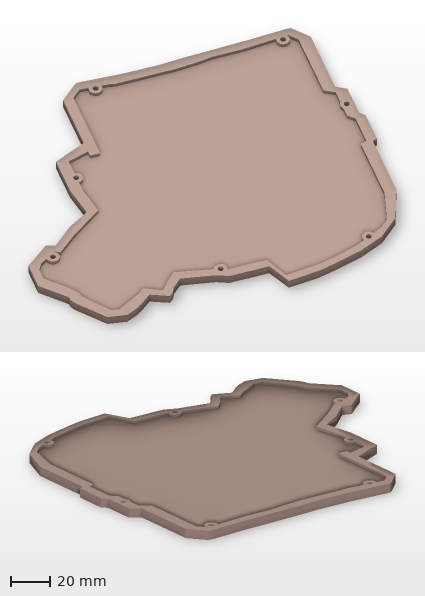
import cadquery as cq

WIDTH = 170.92
LENGTH = 197.67
HEIGHT = 5.0
FLOOR = 3.0

HOLE_DIAMETER = 3.05
BOSS_DIAMETER = 7.05

EAST = WIDTH / 2
WEST = -EAST
NORTH = LENGTH / 2
SOUTH = -NORTH

BACK_LEFT_Y = 90.8
BACK_Y = 96.3
FRONT_LEFT_Y = -43.4
FRONT_MIDDLE_Y = -61.2

POCKET_BACK_LEFT_Y = 84.3
POCKET_BACK_Y = 89.8
POCKET_TAB_Y = 93.2
POCKET_FRONT_LEFT_Y = -37.9
POCKET_FRONT_MIDDLE_Y = -55.0
POCKET_FRONT_Y = -94.5

RIGHT_X = 72.3
POCKET_RIGHT_X = 67.3
POCKET_LEFT_X = -76.8
NOTCH_X = -32.4

OUTER_BACK = [
    (-85.3, 83.2),
    (-76.1, BACK_LEFT_Y),
    (-38.2, BACK_LEFT_Y),
    (-34.8, BACK_Y),
    (-16.7, BACK_Y),
    (-14.1, NORTH),
    (3.8, NORTH),
    (4.7, BACK_Y),
    (41.4, BACK_Y),
]
OUTER_SHOULDER = [
    (60.4, 89.3),
    (70.8, 78.3),
    (76.8, 65.3),
    (81.6, 48.6),
    (83.6, 40.1),
    (EAST, 23.1),
]
OUTER_RIGHT = [
    (RIGHT_X, 17.1),
    (RIGHT_X, -4.3),
    (69.5, -10.6),
    (65.8, -28.8),
    (70.7, -33.9),
    (73.9, -35.4),
    (75.8, -37.7),
    (71.5, -47.3),
]
OUTER_THUMB = [
    (75.8, -52.4),
    (78.3, -55.8),
    (81.5, -62.6),
    (79.7, -72.8),
    (64.8, -85.1),
    (62.3, -86.5),
    (59.9, -86.7),
    (47.1, SOUTH),
    (33.8, SOUTH),
    (31.5, -98.6),
    (29.0, -95.3),
    (20.9, -85.7),
    (22.6, -80.9),
    (12.2, -69.6),
    (5.3, -58.2),
]
OUTER_FRONT = [
    (-12.0, FRONT_MIDDLE_Y),
    (-34.0, FRONT_MIDDLE_Y),
    (-42.1, FRONT_LEFT_Y),
    (-74.3, FRONT_LEFT_Y),
]
OUTER_LEFT = [
    (-82.8, -34.5),
    (-83.9, -32.8),
    (-83.1, -19.5),
    (-82.8, -14.7),
    (-82.4, -6.5),
    (-82.3, 11.3),
    (-82.8, 19.5),
    (-83.1, 24.1),
    (-83.5, 37.2),
    (-83.8, 44.7),
    (-84.3, 60.4),
    (-84.7, 67.3),
    (WEST, 80.5),
]

POCKET_BACK = [
    (-81.0, 80.3),
    (-76.1, POCKET_BACK_LEFT_Y),
    (-37.7, POCKET_BACK_LEFT_Y),
    (-34.3, POCKET_BACK_Y),
    (-16.6, POCKET_BACK_Y),
    (-13.5, POCKET_TAB_Y),
    (3.6, POCKET_TAB_Y),
    (4.8, POCKET_BACK_Y),
    (41.7, POCKET_BACK_Y),
]
POCKET_SHOULDER = [
    (60.2, 84.7),
    (64.4, 80.2),
    (71.0, 67.4),
    (72.5, 64.5),
    (76.7, 50.9),
    (79.0, 41.2),
    (81.0, 23.1),
]
POCKET_RIGHT = [
    (POCKET_RIGHT_X, 17.3),
    (POCKET_RIGHT_X, -3.8),
    (64.8, -10.8),
    (60.3, -30.5),
    (64.4, -34.6),
    (70.8, -39.6),
    (66.1, -48.7),
]
POCKET_THUMB = [
    (69.0, -52.1),
    (76.4, -65.4),
    (75.6, -69.2),
    (65.3, -77.4),
    (60.8, -80.3),
    (58.2, -81.1),
    (53.9, -84.0),
    (42.9, POCKET_FRONT_Y),
    (36.3, POCKET_FRONT_Y),
    (32.3, -92.0),
    (26.6, -82.8),
    (28.1, -80.2),
    (18.7, -69.6),
    (5.9, -52.2),
]
POCKET_FRONT = [
    (-10.7, POCKET_FRONT_MIDDLE_Y),
    (-32.0, POCKET_FRONT_MIDDLE_Y),
    (-35.6, FRONT_LEFT_Y),
    (NOTCH_X, FRONT_LEFT_Y),
    (NOTCH_X, POCKET_FRONT_LEFT_Y),
    (-74.3, POCKET_FRONT_LEFT_Y),
]
POCKET_LEFT = [
    (-78.9, -32.8),
    (-77.5, -17.4),
    (POCKET_LEFT_X, -14.6),
    (POCKET_LEFT_X, 18.4),
    (-77.8, 31.0),
    (-78.9, 38.4),
    (-79.0, 54.9),
]

SCREW_CENTRES = [
    (-78.9, 76.8),
    (-24.7, 92.4),
    (68.6, 72.0),
    (65.9, -6.9),
    (-77.0, -25.0),
    (-19.8, -55.2),
    (29.8, -84.9),
]


def plate(outline, bottom, top):
    """Flat plate with the given outline between two heights."""
    return cq.Workplane("XY").workplane(offset=bottom).polyline(outline).close().extrude(top - bottom)


def cylinders(diameter, bottom, top):
    """One upright cylinder at every screw."""
    sketch = cq.Workplane("XY").workplane(offset=bottom).pushPoints(SCREW_CENTRES)
    return sketch.circle(diameter / 2).extrude(top - bottom)


outer_outline = OUTER_BACK + OUTER_SHOULDER + OUTER_RIGHT + OUTER_THUMB + OUTER_FRONT + OUTER_LEFT
pocket_outline = POCKET_BACK + POCKET_SHOULDER + POCKET_RIGHT + POCKET_THUMB + POCKET_FRONT + POCKET_LEFT

body = plate(outer_outline, 0, HEIGHT)

pocket = plate(pocket_outline, FLOOR, HEIGHT).cut(cylinders(BOSS_DIAMETER, FLOOR, HEIGHT))

result = body.cut(pocket).cut(cylinders(HOLE_DIAMETER, 0, HEIGHT))